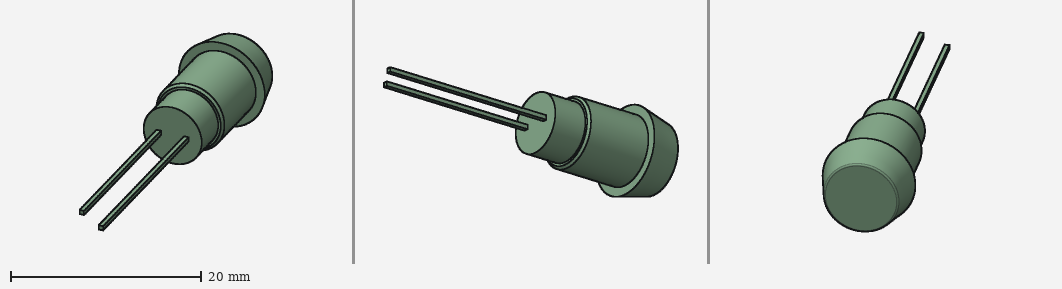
import cadquery as cq

total_length = 36.83
body_length = 16.0
long_lead = total_length - body_length
lead_difference = 2.05
short_lead = long_lead - lead_difference

head_length = 4.0
head_radius = 5.0
head_front_radius = 4.0
head_edge_fillet = 0.22

barrel_radius = 3.98
barrel_chamfer = 0.3
plug_length = 4.0
plug_radius = 3.4

lead_width = 0.5
lead_pitch = 3.2


def make_body():
    """Revolve the stepped half profile about the Y axis."""
    head_back = body_length - head_length
    profile = (
        cq.Workplane("XY")
        .moveTo(0, 0)
        .lineTo(plug_radius, 0)
        .lineTo(plug_radius, plug_length)
        .lineTo(barrel_radius - barrel_chamfer, plug_length)
        .lineTo(barrel_radius, plug_length + barrel_chamfer)
        .lineTo(barrel_radius, head_back)
        .lineTo(head_radius, head_back)
        .lineTo(head_front_radius, body_length)
        .lineTo(0, body_length)
        .close()
    )
    body = profile.revolve(360, (0, 0, 0), (0, 1, 0))
    return body.faces(">Y").edges().fillet(head_edge_fillet)


def make_lead(x, length):
    """Square wire running back from the rear face of the plug."""
    return cq.Workplane("XZ").center(x, 0).rect(lead_width, lead_width).extrude(length)


result = make_body()
for side, length in ((-1, short_lead), (1, long_lead)):
    result = result.union(make_lead(side * lead_pitch / 2, length))